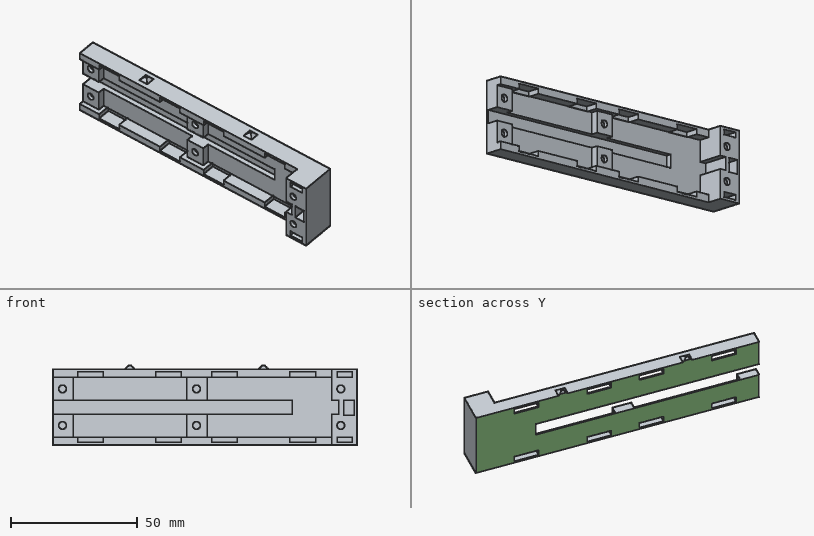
import cadquery as cq

LENGTH = 120.0
HEIGHT = 30.0
MID_Z = HEIGHT / 2

SLOT_FLOOR = 1.0
FLOOR = 3.2
POST_TOP = 6.2
RAIL_TOP = 8.3
BLOCK_TOP = 15.2

RAIL_WIDTH = 3.2
BLOCK_START = 109.9
POST_SPANS = [(0, 8.0), (52.8, 60.8)]
SLOT_WIDTH = 5.5
SLOT_END = 94.5
BLOCK_NOTCH_DEPTH = 2.9

LIP = 1.1
RAIL_POCKET_LENGTH = 10.1
RAIL_POCKET_STARTS = [9.8, 40.5, 62.6, 93.5]
RAIL_POCKET_FLOOR = 2.5
BLOCK_POCKET_START = 112.1
BLOCK_POCKET_LENGTH = 5.9
BLOCK_POCKET_FLOOR = RAIL_TOP

WINDOW_START = 114.6
WINDOW_LENGTH = 4.3
WINDOW_HEIGHT = 5.9
WINDOW_TOP_Z = MID_Z + SLOT_WIDTH / 2
WINDOW_FLOOR = FLOOR

HOLE_DIAMETER = 3.0
HOLE_SPACING_Z = 14.4
POST_HOLE_X = [3.8, 56.6]
BLOCK_HOLE_X = 113.5
HOLE_DEPTH = 1.7

STUD_X = [30.4, 83.0]
STUD_BASE = 4.0
STUD_TIP = 1.0
STUD_HEIGHT = 1.5
STUD_CENTRE = 4.1


def block(x_start, x_end, low, high, z_start, z_end):
    """Box between two heights above the back."""
    size = (x_end - x_start, high - low, z_end - z_start)
    return cq.Workplane("XY").box(*size, centered=False).translate((x_start, -high, z_start))


def mirror_z(shape):
    """Shape together with its mirror image about mid height."""
    return shape.union(shape.mirror("XY", (0, 0, MID_Z)))


def frame():
    """Floor plate with two rails, two posts across it and the end block."""
    body = block(0, LENGTH, 0, FLOOR, 0, HEIGHT)
    body = body.union(mirror_z(block(0, LENGTH, 0, RAIL_TOP, 0, RAIL_WIDTH)))
    for x_start, x_end in POST_SPANS:
        body = body.union(block(x_start, x_end, 0, POST_TOP, RAIL_WIDTH, HEIGHT - RAIL_WIDTH))
    return body.union(block(BLOCK_START, LENGTH, 0, BLOCK_TOP, 0, HEIGHT))


def centre_slot():
    """Groove along the floor, and the notch in line with it in the end block."""
    z_start = MID_Z - SLOT_WIDTH / 2
    z_end = MID_Z + SLOT_WIDTH / 2
    groove = block(0, SLOT_END, SLOT_FLOOR, RAIL_TOP, z_start, z_end)
    notch = block(BLOCK_START, BLOCK_START + BLOCK_NOTCH_DEPTH, FLOOR, BLOCK_TOP, z_start, z_end)
    return groove.union(notch)


def edge_pockets():
    """Pockets behind the outer lip, in the rails and in the end block."""
    end = BLOCK_POCKET_START + BLOCK_POCKET_LENGTH
    pockets = block(BLOCK_POCKET_START, end, BLOCK_POCKET_FLOOR, BLOCK_TOP, LIP, RAIL_WIDTH)
    for x_start in RAIL_POCKET_STARTS:
        x_end = x_start + RAIL_POCKET_LENGTH
        pockets = pockets.union(block(x_start, x_end, RAIL_POCKET_FLOOR, RAIL_TOP, LIP, RAIL_WIDTH))
    return mirror_z(pockets)


def window():
    """Rectangular pocket in the middle of the end block."""
    x_end = WINDOW_START + WINDOW_LENGTH
    z_start = WINDOW_TOP_Z - WINDOW_HEIGHT
    return block(WINDOW_START, x_end, WINDOW_FLOOR, BLOCK_TOP, z_start, WINDOW_TOP_Z)


def screw_hole_pair(x, top):
    """Pair of blind holes sunk into a face at the given height above the back."""
    hole = (
        cq.Workplane("XZ", origin=(x, HOLE_DEPTH - top, MID_Z - HOLE_SPACING_Z / 2))
        .circle(HOLE_DIAMETER / 2)
        .extrude(HOLE_DEPTH)
    )
    return mirror_z(hole)


def stud(x):
    """Square frustum standing on the top side."""
    return (
        cq.Workplane("XY", origin=(x, -STUD_CENTRE, HEIGHT))
        .rect(STUD_BASE, STUD_BASE)
        .workplane(offset=STUD_HEIGHT)
        .rect(STUD_TIP, STUD_TIP)
        .loft()
    )


result = frame().cut(centre_slot()).cut(edge_pockets()).cut(window())
result = result.cut(screw_hole_pair(BLOCK_HOLE_X, BLOCK_TOP))
for hole_x in POST_HOLE_X:
    result = result.cut(screw_hole_pair(hole_x, POST_TOP))
for stud_x in STUD_X:
    result = result.union(stud(stud_x))